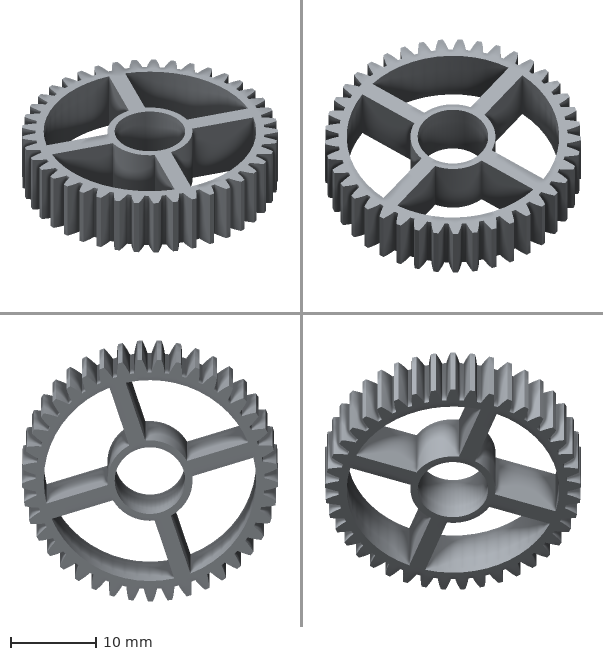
import cadquery as cq
import math

tooth_count = 41
module = 0.7
addendum_factor = 1.0
dedendum_factor = 1.25
face_width = 7.0
tip_thickness = 0.57
root_thickness = 1.56

bore_diameter = 8.3
hub_diameter = 10.0
rim_inner_diameter = 25.0
spoke_width = 2.0
spoke_bar_count = 2

pitch_radius = module * tooth_count / 2
tip_radius = pitch_radius + addendum_factor * module
root_radius = pitch_radius - dedendum_factor * module
pitch_thickness = math.pi * module / 2
tooth_pitch_angle = 2 * math.pi / tooth_count
first_tooth_angle = math.pi / 2

tip_half_angle = tip_thickness / 2 / tip_radius
pitch_half_angle = pitch_thickness / 2 / pitch_radius
root_half_angle = root_thickness / 2 / root_radius


def polar(radius, angle):
    return (radius * math.cos(angle), radius * math.sin(angle))


def gear_blank():
    """Toothed disc with convex arc flanks and arcs along tips and roots."""
    outline = cq.Workplane("XY").moveTo(*polar(root_radius, first_tooth_angle - root_half_angle))
    for tooth in range(tooth_count):
        center = first_tooth_angle + tooth * tooth_pitch_angle
        gap_center = center + tooth_pitch_angle / 2
        next_center = center + tooth_pitch_angle
        outline = (
            outline
            .threePointArc(
                polar(pitch_radius, center - pitch_half_angle),
                polar(tip_radius, center - tip_half_angle),
            )
            .threePointArc(polar(tip_radius, center), polar(tip_radius, center + tip_half_angle))
            .threePointArc(
                polar(pitch_radius, center + pitch_half_angle),
                polar(root_radius, center + root_half_angle),
            )
            .threePointArc(
                polar(root_radius, gap_center),
                polar(root_radius, next_center - root_half_angle),
            )
        )
    return outline.close().extrude(face_width)


def web_windows():
    """Openings between hub, spokes and rim."""
    windows = cq.Workplane("XY").circle(rim_inner_diameter / 2).circle(hub_diameter / 2).extrude(face_width)
    spoke_bar = cq.Workplane("XY").rect(rim_inner_diameter, spoke_width).extrude(face_width)
    for bar in range(spoke_bar_count):
        windows = windows.cut(spoke_bar.rotate((0, 0, 0), (0, 0, 1), bar * 180 / spoke_bar_count))
    return windows


def bore():
    return cq.Workplane("XY").circle(bore_diameter / 2).extrude(face_width)


result = gear_blank().cut(web_windows()).cut(bore())